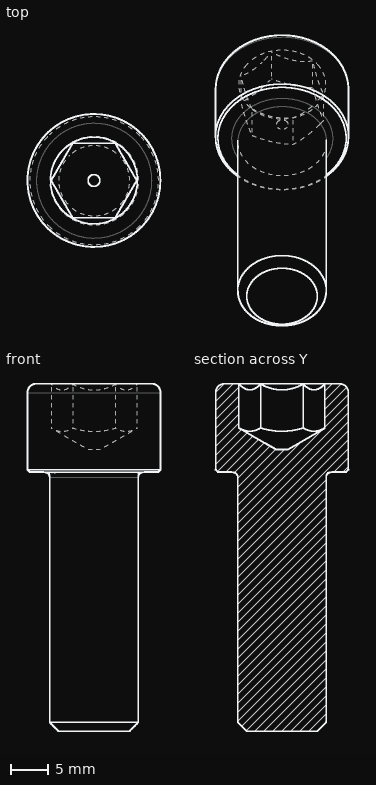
import cadquery as cq
import math

total_length = 47.0
head_diameter = 18.0
head_height = 12.0
shank_diameter = 12.0

head_top_radius = 1.2
head_bottom_chamfer = 0.35
neck_fillet_width = 0.85
neck_fillet_height = 0.7
tip_chamfer_width = 1.2
tip_chamfer_height = 1.2

socket_across_flats = 10.0
socket_depth = 6.0
socket_mouth_diameter = 11.75
mouth_cone_angle = 45.0
floor_cone_angle = 60.0
floor_flat_diameter = 1.6

head_radius = head_diameter / 2
shank_radius = shank_diameter / 2
head_bottom = total_length - head_height


def make_body():
    """Head and shank, revolved about Z with the tip at Z = 0."""
    arc_mid = head_top_radius * (1 - math.sqrt(0.5))
    profile = (
        cq.Workplane("XZ")
        .lineTo(shank_radius - tip_chamfer_width, 0)
        .lineTo(shank_radius, tip_chamfer_height)
        .lineTo(shank_radius, head_bottom - neck_fillet_height)
        .spline(
            [(shank_radius + neck_fillet_width, head_bottom)],
            tangents=[(0, 1), (1, 0)],
            includeCurrent=True,
        )
        .lineTo(head_radius - head_bottom_chamfer, head_bottom)
        .lineTo(head_radius, head_bottom + head_bottom_chamfer)
        .lineTo(head_radius, total_length - head_top_radius)
        .threePointArc(
            (head_radius - arc_mid, total_length - arc_mid),
            (head_radius - head_top_radius, total_length),
        )
        .lineTo(0, total_length)
        .close()
    )
    return profile.revolve(360, (0, 0, 0), (0, 1, 0))


def make_socket():
    """Hexagonal hole with corners on X, a conical floor and a conical mouth."""
    corner_radius = socket_across_flats / math.sqrt(3)
    floor_flat_radius = floor_flat_diameter / 2
    mouth_radius = socket_mouth_diameter / 2
    floor_slope = math.tan(math.radians(floor_cone_angle))
    floor_drop = (corner_radius - floor_flat_radius) / floor_slope
    mouth_depth = mouth_radius / math.tan(math.radians(mouth_cone_angle))
    floor_rim = total_length - socket_depth
    floor_bottom = floor_rim - floor_drop

    hexagon = (
        cq.Workplane("XY", origin=(0, 0, floor_bottom))
        .polygon(6, 2 * corner_radius)
        .extrude(total_length - floor_bottom)
    )
    floor_envelope = (
        cq.Workplane("XZ")
        .moveTo(0, floor_bottom)
        .lineTo(floor_flat_radius, floor_bottom)
        .lineTo(corner_radius, floor_rim)
        .lineTo(head_radius, floor_rim)
        .lineTo(head_radius, total_length)
        .lineTo(0, total_length)
        .close()
        .revolve(360, (0, 0, 0), (0, 1, 0))
    )
    mouth = (
        cq.Workplane("XZ")
        .moveTo(0, total_length)
        .lineTo(mouth_radius, total_length)
        .lineTo(0, total_length - mouth_depth)
        .close()
        .revolve(360, (0, 0, 0), (0, 1, 0))
    )
    return hexagon.intersect(floor_envelope).union(mouth)


result = make_body().cut(make_socket())